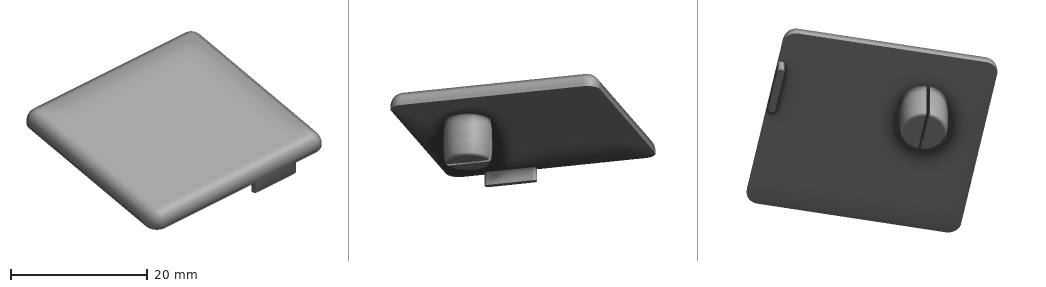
import cadquery as cq

plate_side = 32.0
plate_thickness = 2.5
edge_radius = 2.0

peg_x = -6.5
peg_y = 6.5
peg_length = 6.5
peg_band_radius = 3.6
peg_neck_radius = 3.4
peg_tip_radius = 3.42
root_fillet = 0.2
tip_fillet = 0.48
band_top_z = -3.0
band_bottom_z = -4.5
slot_width = 0.5

tab_thickness = 1.0
tab_width = 8.0
tab_height = 2.0


def make_plate():
    """Square plate with rounded corners and a rounded upper rim."""
    plate = cq.Workplane("XY").rect(plate_side, plate_side).extrude(plate_thickness)
    return plate.edges("|Z or >Z").fillet(edge_radius)


def make_peg():
    """Revolved peg that swells to a cylindrical band, cut in two by a slot along Y."""
    neck_top_z = -root_fillet
    tip_start_z = tip_fillet - peg_length
    profile = (
        cq.Workplane("XZ")
        .lineTo(peg_neck_radius + root_fillet, 0)
        .radiusArc((peg_neck_radius, neck_top_z), -root_fillet)
        .radiusArc((peg_band_radius, band_top_z), swell_radius(peg_neck_radius, neck_top_z - band_top_z))
        .lineTo(peg_band_radius, band_bottom_z)
        .radiusArc((peg_tip_radius, tip_start_z), swell_radius(peg_tip_radius, band_bottom_z - tip_start_z))
        .radiusArc((peg_tip_radius - tip_fillet, -peg_length), tip_fillet)
        .lineTo(0, -peg_length)
        .close()
    )
    peg = profile.revolve(360, (0, 0, 0), (0, 1, 0))
    slot = cq.Workplane("XY").box(slot_width, 4 * peg_band_radius, 2 * peg_length)
    return peg.cut(slot).translate((peg_x, peg_y, 0))


def swell_radius(end_radius, length):
    """Radius of an arc tangent to the band that reaches end_radius after the given length."""
    rise = peg_band_radius - end_radius
    return (length**2 + rise**2) / (2 * rise)


def make_tab():
    """Tab with fully rounded ends hanging from the plate."""
    tab = cq.Workplane("XY").slot2D(tab_width, tab_thickness, 90).extrude(-tab_height)
    return tab.translate(((plate_side - tab_thickness) / 2, peg_y, 0))


result = make_plate().union(make_peg()).union(make_tab())